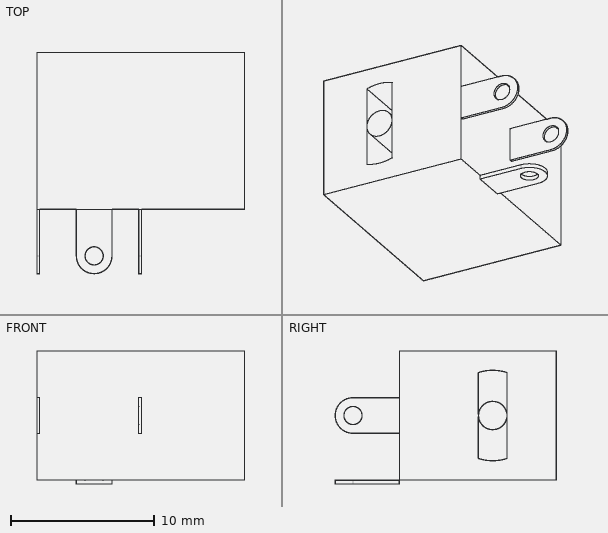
import cadquery as cq

HOUSING_LENGTH = 14.5
HOUSING_DEPTH = 10.95
HOUSING_HEIGHT = 9.0
MID_HEIGHT = HOUSING_HEIGHT / 2

PIN_DIAMETER = 2.0
SLOT_WIDTH = PIN_DIAMETER
SLOT_END_DIAMETER = 6.3
AXIS_Y = 6.5

TAB_REACH = 15.45 - HOUSING_DEPTH
TAB_WIDTH = 2.5
TAB_HOLE_DIAMETER = TAB_WIDTH / 2
SIDE_TAB_THICKNESS = 0.2
SIDE_TAB_STARTS = (0.0, 7.1)
BOTTOM_TAB_THICKNESS = 0.3
BOTTOM_TAB_X = 4.0


def make_axis_cylinder(diameter):
    """Cylinder about the pin axis, running the whole length of the housing."""
    return (
        cq.Workplane("YZ", origin=(0, AXIS_Y, MID_HEIGHT))
        .circle(diameter / 2)
        .extrude(HOUSING_LENGTH)
    )


def make_slot():
    """Through slot with flat sides and ends curved about the pin axis."""
    flat_sides = (
        cq.Workplane("YZ", origin=(0, AXIS_Y, MID_HEIGHT))
        .rect(SLOT_WIDTH, SLOT_END_DIAMETER)
        .extrude(HOUSING_LENGTH)
    )
    return flat_sides.intersect(make_axis_cylinder(SLOT_END_DIAMETER))


def make_housing():
    """Rectangular block pierced lengthwise by the slot."""
    block = cq.Workplane("XY").box(
        HOUSING_LENGTH, HOUSING_DEPTH, HOUSING_HEIGHT, centered=False
    )
    return block.cut(make_slot()).solids()


def make_tab(thickness):
    """Flat tab on the XY plane: root centred on the origin, round end toward -Y."""
    half_width = TAB_WIDTH / 2
    round_centre_y = half_width - TAB_REACH
    blade = (
        cq.Workplane("XY")
        .moveTo(-half_width, 0)
        .lineTo(-half_width, round_centre_y)
        .threePointArc((0, -TAB_REACH), (half_width, round_centre_y))
        .lineTo(half_width, 0)
        .close()
        .extrude(thickness)
    )
    hole = (
        cq.Workplane("XY")
        .center(0, round_centre_y)
        .circle(TAB_HOLE_DIAMETER / 2)
        .extrude(thickness)
    )
    return blade.cut(hole).solids()


def make_side_tab(start_x):
    """Upright tab at mid height, its thickness running from start_x toward +X."""
    upright = make_tab(SIDE_TAB_THICKNESS).rotate((0, 0, 0), (0, 1, 0), 90)
    return upright.translate((start_x, 0, MID_HEIGHT))


def make_bottom_tab():
    """Flat tab whose top is level with the underside of the housing."""
    return make_tab(BOTTOM_TAB_THICKNESS).translate((BOTTOM_TAB_X, 0, -BOTTOM_TAB_THICKNESS))


housing = make_housing()
pin = make_axis_cylinder(PIN_DIAMETER)
side_tabs = [make_side_tab(start_x) for start_x in SIDE_TAB_STARTS]
bottom_tab = make_bottom_tab()

result = cq.Compound.makeCompound(
    [housing.val(), pin.val(), *[tab.val() for tab in side_tabs], bottom_tab.val()]
)